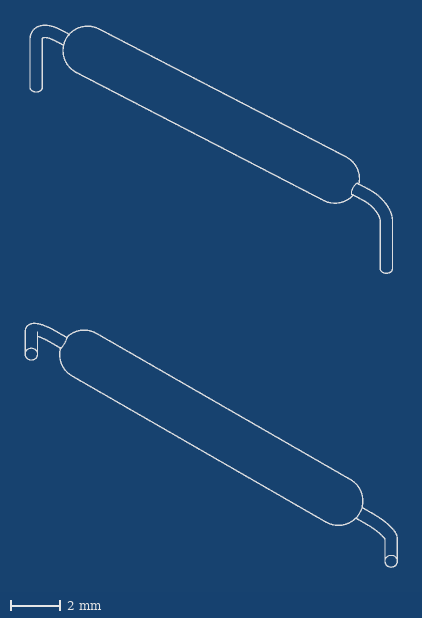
import cadquery as cq

overall_length = 17.5
overall_height = 5.1
capsule_length = 14.0
capsule_diameter = 2.0
wire_diameter = 0.5
bend_radius = 1.0

capsule_radius = capsule_diameter / 2
wire_radius = wire_diameter / 2
capsule_end_x = capsule_length / 2
dome_start_x = capsule_end_x - capsule_radius
leg_x = (overall_length - wire_diameter) / 2
bend_start_x = leg_x - bend_radius
leg_tip_z = capsule_radius - overall_height
dome_mid_offset = capsule_radius * 0.5 ** 0.5
bend_mid_offset = bend_radius * 0.5 ** 0.5


def make_capsule():
    """Round-ended capsule with a bore along its axis for the wire."""
    half_profile = (
        cq.Workplane("XZ")
        .moveTo(-capsule_end_x, 0)
        .threePointArc((-dome_start_x - dome_mid_offset, dome_mid_offset), (-dome_start_x, capsule_radius))
        .lineTo(dome_start_x, capsule_radius)
        .threePointArc((dome_start_x + dome_mid_offset, dome_mid_offset), (capsule_end_x, 0))
        .close()
    )
    solid = half_profile.revolve(360, (0, 0, 0), (1, 0, 0))
    bore = (
        cq.Workplane("YZ")
        .circle(wire_radius)
        .extrude(capsule_end_x, both=True)
    )
    return solid.cut(bore).solids()


def make_wire():
    """One round wire through the capsule, bent down into a leg at each end."""
    bend_mid_x = bend_start_x + bend_mid_offset
    bend_mid_z = bend_mid_offset - bend_radius
    path = (
        cq.Workplane("XZ")
        .moveTo(-leg_x, leg_tip_z)
        .lineTo(-leg_x, -bend_radius)
        .threePointArc((-bend_mid_x, bend_mid_z), (-bend_start_x, 0))
        .lineTo(bend_start_x, 0)
        .threePointArc((bend_mid_x, bend_mid_z), (leg_x, -bend_radius))
        .lineTo(leg_x, leg_tip_z)
    )
    return (
        cq.Workplane("XY", origin=(-leg_x, 0, leg_tip_z))
        .circle(wire_radius)
        .sweep(path)
    )


capsule = make_capsule()
wire = make_wire()

result = cq.Compound.makeCompound([capsule.val(), wire.val()])